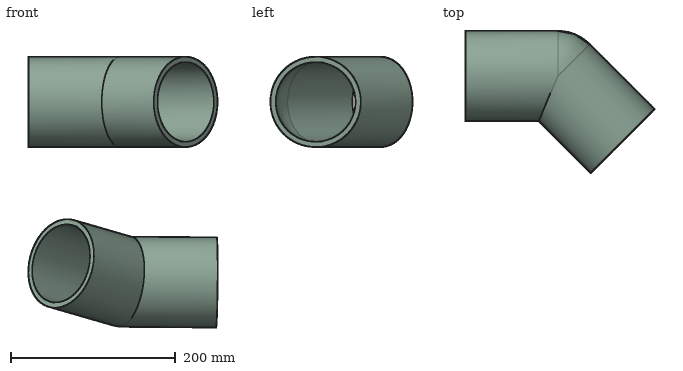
import cadquery as cq
import math

OUTER_DIAMETER = 110.0
WALL_THICKNESS = 6.6
LEG_LENGTH = 112.0
BEND_ANGLE = 45.0

OUTER_RADIUS = OUTER_DIAMETER / 2
BORE_RADIUS = OUTER_RADIUS - WALL_THICKNESS

INLET_DIRECTION = cq.Vector(-1, 0, 0)
OUTLET_DIRECTION = cq.Vector(
    math.cos(math.radians(BEND_ANGLE)),
    -math.sin(math.radians(BEND_ANGLE)),
    0,
)


def leg(radius, direction):
    """Solid cylinder from the bend centre to an open end."""
    plane = cq.Plane(origin=(0, 0, 0), xDir=(0, 0, 1), normal=direction)
    return cq.Workplane(plane).circle(radius).extrude(LEG_LENGTH)


def corner(radius):
    """Spherical wedge filling the gap between the legs on the outside of the bend."""
    half_disc = (
        cq.Workplane("YZ")
        .moveTo(0, -radius)
        .threePointArc((radius, 0), (0, radius))
        .close()
    )
    return half_disc.revolve(BEND_ANGLE, (0, 1, 0), (0, 0, 0))


def elbow(radius):
    """Solid bend: two legs joined by the spherical corner."""
    legs = leg(radius, INLET_DIRECTION).union(leg(radius, OUTLET_DIRECTION))
    return legs.union(corner(radius))


result = elbow(OUTER_RADIUS).cut(elbow(BORE_RADIUS))